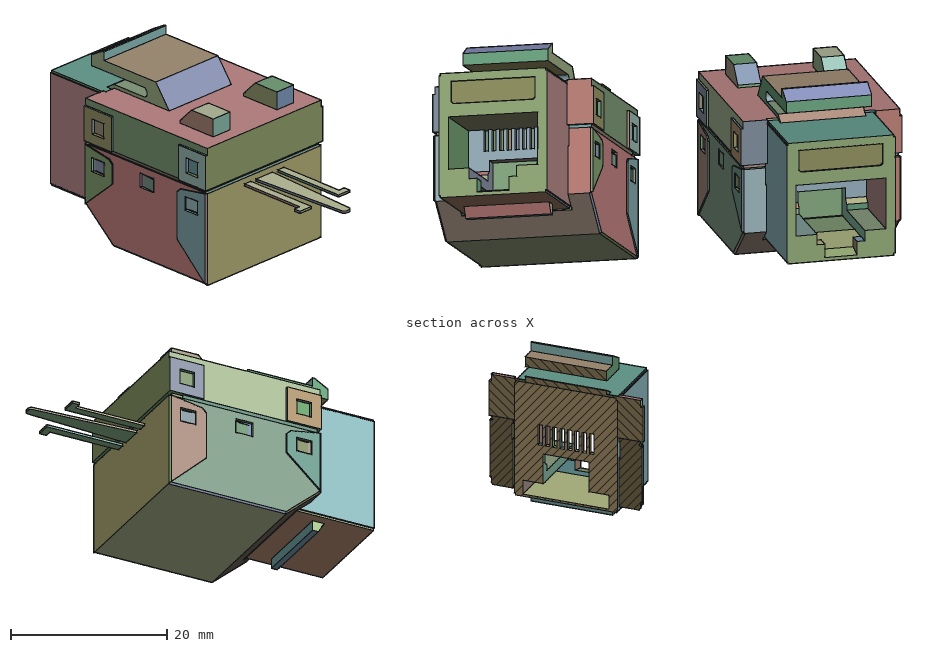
import cadquery as cq


rear_x = 31.4
cover_top = 12.95
carrier_bottom = 13.47
carrier_top = 19.37
latch_half_width = 5.65

socket_half_width = 7.2
socket_bottom = 2.9
socket_top = 19.1
socket_length = 11.4
edge_rebate_width = 0.2
edge_rebate_height = 0.3

cavity_half_width = 5.95
cavity_bottom = 6.55
cavity_top = 13.4
cavity_depth = 9.52
sill_depth = 8.85
sill_top = 7.35
sill_slope_top = 7.95
channel_half_width = 3.15
channel_bottom = 5.15
channel_top = 9.35
channel_depth = 11.2
lip_depth = 1.95
lip_notch_half_width = 2.15
lip_notch_front_z = 3.35
lip_notch_rear_z = 3.85
chamber_floor = 3.25
chamber_depth = 10.83

contact_count = 8
contact_pitch = 1.0
contact_width = 0.55
contact_bottom = 10.6
contact_depth = 0.7

label_half_width = 5.58
label_bottom = 15.1
label_top = 18.03
label_depth = 0.3
label_corner = 0.3

catch_front = 6.4
catch_tip = 7.3
catch_rear = 8.15
catch_bottom = 1.5

carrier_front = 9.52
carrier_half_width = 10.4
carrier_roof_front = 10.0
overall_width = 21.4
pad_half_width = overall_width / 2
pad_length = 4.92
pad_top = 18.4
window_width = 2.1
window_bottom = 14.85
window_top = 17.0
window_offset = 1.45
window_depth = 0.45

foot_front = 23.45
foot_ridge = 25.55
foot_rear = 29.45
foot_nose_top = 19.75
foot_top = 21.9
foot_inner_y = 4.27
foot_width = 3.05

latch_base_top = 19.9
latch_arm_bottom = 21.25
latch_arm_top = 22.65
latch_slot_end = 15.42
latch_slot_bulge = 0.45
latch_nose_x = 5.9
latch_nose_top = 22.75
latch_tip_x = 7.85
latch_tooth_x = 8.15
latch_tip_z = 23.9
latch_arm_end = 17.45
latch_foot_x = 19.9
latch_ramp_front = 8.65
latch_ramp_rear = 9.95

cover_front = 9.4
cover_half_width = 10.4
cover_pad_half_width = 10.6
cover_slope_top = 4.35
cover_slope_bottom_x = 14.35
cover_edge_chamfer = 0.25
front_pad_x = 14.45
rear_pad_x = 26.1
pad_shoulder_z = 12.15
pad_shoulder_size = 0.55
front_pad_low_z = 8.87
rear_pad_low_z = 4.95
neck_front = 9.95
neck_rear = 29.35
neck_half_width = 10.4
neck_taper = 0.25
post_rear = 30.85
notch_gap = 0.15
notch_bottom = 2.7
relief_half_width = 7.5
relief_bottom = 10.7

window_rim_depth = 0.35
window_floor_rise = 0.25
end_window_bottom = 9.5
end_window_height = 1.95
front_window_x = 10.8
rear_window_x = 27.6
end_window_width = 2.25
mid_window_x = 19.3
mid_window_width = 2.4
mid_window_bottom = 10.0
mid_window_height = 2.0
window_ledge = 0.35
end_window_rim = 0.15
mid_window_rim = 0.3

plate_bottom = 11.8
plate_thickness = 0.33
plate_front = 29.0
crossbar_rear = 29.9
prong_tip = 46.45
prong_root_half_width = 1.5
prong_tip_half_width = 0.65
prong_round = 0.45
hook_inner_y = 2.45
hook_outer_y = 3.6
hook_barb_y = 4.55
hook_barb_front = 41.3
hook_end = 42.33


def block(x0, x1, y0, y1, z0, z1):
    """Box between two opposite corners."""
    return cq.Workplane("XY").box(x1 - x0, y1 - y0, z1 - z0, centered=False).translate((x0, y0, z0))


def centred_block(x0, x1, half_width, z0, z1):
    """Box symmetric about Y = 0."""
    return block(x0, x1, -half_width, half_width, z0, z1)


def side_prism(points, half_width):
    """Closed XZ outline extruded symmetrically about Y = 0."""
    return cq.Workplane("XZ").polyline(points).close().extrude(half_width, both=True)


def both_sides(shape):
    """The shape together with its mirror image across Y = 0."""
    return shape.union(shape.mirror("XZ"))


def plug_cavity():
    opening = side_prism(
        [
            (0, cavity_bottom),
            (sill_depth, cavity_bottom),
            (sill_depth, sill_top),
            (cavity_depth, sill_slope_top),
            (cavity_depth, cavity_top),
            (0, cavity_top),
        ],
        cavity_half_width,
    )
    channel = centred_block(0, channel_depth, channel_half_width, channel_bottom, channel_top)
    lip_notch = side_prism(
        [
            (0, lip_notch_front_z),
            (lip_depth, lip_notch_rear_z),
            (lip_depth, channel_bottom),
            (0, channel_bottom),
        ],
        lip_notch_half_width,
    )
    chamber = centred_block(lip_depth, chamber_depth, cavity_half_width, chamber_floor, channel_bottom)
    cavity = opening.union(channel).union(lip_notch).union(chamber)
    for i in range(contact_count):
        y = (i - (contact_count - 1) / 2) * contact_pitch
        slot = block(
            sill_depth,
            cavity_depth + contact_depth,
            y - contact_width / 2,
            y + contact_width / 2,
            contact_bottom,
            cavity_top,
        )
        cavity = cavity.union(slot)
    return cavity


def socket_outer():
    """Socket block without its opening; also the shape of its seat in the carrier."""
    outer = centred_block(0, socket_length, socket_half_width, socket_bottom, socket_top)
    rebate_y = socket_half_width - edge_rebate_width
    for z in (socket_bottom, socket_top - edge_rebate_height):
        rebate = block(0, socket_length, rebate_y, socket_half_width, z, z + edge_rebate_height)
        outer = outer.cut(both_sides(rebate))
    return outer


def make_socket():
    label = centred_block(0, label_depth, label_half_width, label_bottom, label_top)
    label = label.edges("|X and <Z").chamfer(label_corner)
    catch = side_prism(
        [
            (catch_front, socket_bottom),
            (catch_tip, catch_bottom),
            (catch_rear, catch_bottom),
            (catch_rear, socket_bottom),
        ],
        latch_half_width,
    )
    return socket_outer().union(catch).cut(plug_cavity()).cut(label)


def spring_latch():
    slot_middle = (latch_base_top + latch_arm_bottom) / 2
    outline = (
        cq.Workplane("XZ")
        .moveTo(latch_ramp_front, socket_top)
        .lineTo(latch_ramp_rear, latch_base_top)
        .lineTo(latch_slot_end, latch_base_top)
        .threePointArc((latch_slot_end + latch_slot_bulge, slot_middle), (latch_slot_end, latch_arm_bottom))
        .lineTo(latch_nose_x, latch_arm_bottom)
        .lineTo(latch_nose_x, latch_nose_top)
        .lineTo(latch_tip_x, latch_tip_z)
        .lineTo(latch_tooth_x, latch_tip_z)
        .lineTo(latch_tooth_x, latch_arm_top)
        .lineTo(latch_arm_end, latch_arm_top)
        .lineTo(latch_foot_x, carrier_top)
        .lineTo(latch_foot_x, socket_top)
        .close()
    )
    return outline.extrude(latch_half_width, both=True)


def foot():
    profile = [
        (foot_front, carrier_top),
        (foot_front, foot_nose_top),
        (foot_ridge, foot_top),
        (foot_rear, foot_top),
        (foot_rear, carrier_top),
    ]
    shape = cq.Workplane("XZ").polyline(profile).close().extrude(-foot_width)
    return shape.translate((0, foot_inner_y, 0))


def make_carrier():
    carrier = centred_block(carrier_front, rear_x, carrier_half_width, carrier_bottom, carrier_top)
    for x in (carrier_front, rear_x - pad_length):
        pads = centred_block(x, x + pad_length, pad_half_width, carrier_bottom, pad_top)
        carrier = carrier.union(pads)
    for x in (carrier_front + window_offset, rear_x - window_offset - window_width):
        window = block(
            x, x + window_width, pad_half_width - window_depth, pad_half_width, window_bottom, window_top
        )
        carrier = carrier.cut(both_sides(window))
    roof_notch = centred_block(
        carrier_front, carrier_roof_front, socket_half_width, carrier_bottom, carrier_top
    )
    carrier = carrier.cut(roof_notch).cut(socket_outer())
    return carrier.union(both_sides(foot())).union(spring_latch())


def cover_block(half_width):
    """Cover outline with every side edge but the top one chamfered."""
    outline = [
        (cover_front, cover_top),
        (cover_front, cover_slope_top),
        (cover_slope_bottom_x, 0),
        (rear_x, 0),
        (rear_x, cover_top),
    ]
    shape = side_prism(outline, half_width)
    for face in ("<Y", ">Y"):
        shape = shape.faces(face).edges("not >Z").chamfer(cover_edge_chamfer)
    return shape


def cover_pads():
    """Corner areas of the cover's sides, standing slightly proud."""
    front_area = [
        (cover_front, cover_top),
        (front_pad_x - pad_shoulder_size, pad_shoulder_z),
        (front_pad_x, pad_shoulder_z - pad_shoulder_size),
        (front_pad_x, front_pad_low_z),
        (cover_front, cover_slope_top),
    ]
    rear_area = [
        (rear_x, cover_top),
        (rear_pad_x + pad_shoulder_size, pad_shoulder_z),
        (rear_pad_x, pad_shoulder_z - pad_shoulder_size),
        (rear_pad_x, rear_pad_low_z),
        (rear_x, 0),
    ]
    areas = side_prism(front_area, cover_pad_half_width).union(side_prism(rear_area, cover_pad_half_width))
    return cover_block(cover_pad_half_width).intersect(areas)


def cover_neck():
    """Undercut strip that carries the carrier, with a straight post behind it."""
    section = [
        (-neck_half_width + neck_taper, cover_top),
        (neck_half_width - neck_taper, cover_top),
        (neck_half_width, carrier_bottom),
        (-neck_half_width, carrier_bottom),
    ]
    strip = cq.Workplane("YZ").polyline(section).close().extrude(neck_rear - neck_front)
    post = centred_block(neck_rear, post_rear, neck_half_width - neck_taper, cover_top, carrier_bottom)
    return strip.translate((neck_front, 0, 0)).union(post)


def sloped_window(x, width, bottom, height, half_width, low_end, bottom_rim, top_rim):
    """Side pocket with a wedge on its floor, falling toward low_end (-1 front, +1 rear)."""
    floor_y = half_width - window_rim_depth
    pocket = block(x, x + width, floor_y, half_width, bottom, bottom + height)
    middle_x = x + width / 2
    wedge_low_x = middle_x + low_end * (width / 2 - window_ledge)
    wedge_high_x = middle_x - low_end * width / 2
    wedge_plan = [
        (wedge_low_x, floor_y),
        (wedge_high_x, floor_y),
        (wedge_high_x, floor_y + window_floor_rise),
    ]
    wedge = cq.Workplane("XY").polyline(wedge_plan).close().extrude(height - bottom_rim - top_rim)
    return pocket.cut(wedge.translate((0, 0, bottom + bottom_rim)))


def make_cover(plate):
    cover = cover_block(cover_half_width).union(cover_pads()).union(cover_neck())
    socket_seat = centred_block(
        cover_front, socket_length, socket_half_width + notch_gap, notch_bottom, carrier_bottom
    )
    seat_relief = centred_block(cover_front, socket_length, relief_half_width, relief_bottom, cover_top)
    cover = cover.cut(socket_seat).cut(seat_relief)
    for x, low_end in ((front_window_x, -1), (rear_window_x, 1)):
        end_window = sloped_window(
            x,
            end_window_width,
            end_window_bottom,
            end_window_height,
            cover_pad_half_width,
            low_end,
            bottom_rim=end_window_rim,
            top_rim=end_window_rim,
        )
        cover = cover.cut(both_sides(end_window))
    mid_window = sloped_window(
        mid_window_x,
        mid_window_width,
        mid_window_bottom,
        mid_window_height,
        cover_half_width,
        low_end=-1,
        bottom_rim=0,
        top_rim=mid_window_rim,
    )
    return cover.cut(both_sides(mid_window)).cut(plate)


def make_prong_plate():
    crossbar = [
        (plate_front, -hook_outer_y),
        (crossbar_rear, -hook_outer_y),
        (crossbar_rear, hook_outer_y),
        (plate_front, hook_outer_y),
    ]
    hook = [
        (plate_front, hook_inner_y),
        (hook_end, hook_inner_y),
        (hook_end, hook_barb_y),
        (hook_barb_front, hook_barb_y),
        (hook_barb_front, hook_outer_y),
        (plate_front, hook_outer_y),
    ]
    tongue_outline = [
        (plate_front, -prong_root_half_width),
        (rear_x, -prong_root_half_width),
        (prong_tip, -prong_tip_half_width),
        (prong_tip, prong_tip_half_width),
        (rear_x, prong_root_half_width),
        (plate_front, prong_root_half_width),
    ]
    base = cq.Workplane("XY").workplane(offset=plate_bottom)
    tongue = base.polyline(tongue_outline).close().extrude(plate_thickness)
    tongue = tongue.edges("|Z and >X").fillet(prong_round)
    hooks = both_sides(base.polyline(hook).close().extrude(plate_thickness))
    return base.polyline(crossbar).close().extrude(plate_thickness).union(hooks).union(tongue)


socket = make_socket()
carrier = make_carrier()
prong_plate = make_prong_plate()
cover = make_cover(prong_plate)

bodies = [socket, carrier, cover, prong_plate]
result = cq.Compound.makeCompound([body.solids().val() for body in bodies])